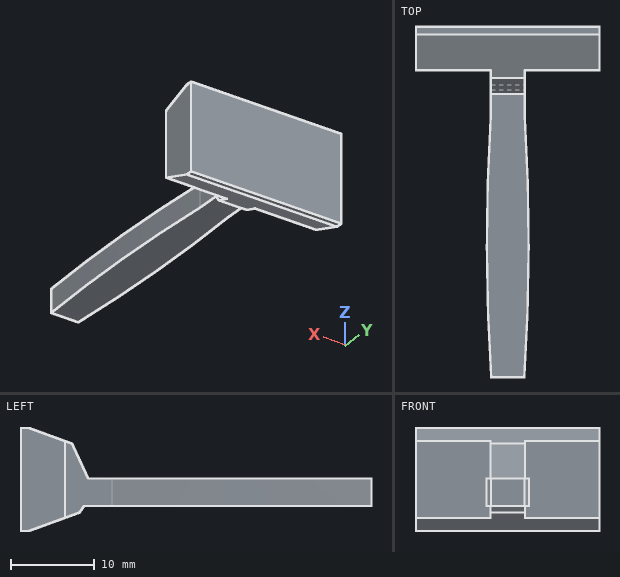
import cadquery as cq
import math

total_length = 42.0

head_width = 22.0
head_height = 12.4
head_depth = 5.25
head_rim_depth = 0.92
head_slope_angle = 20.0

neck_width = 4.1
neck_top_slope_end = 6.15
neck_top_end = 8.05
neck_bottom_slope_end = 7.0
neck_bottom_end = 7.55

handle_top = 0.13
handle_thickness = 3.3
handle_bottom = handle_top - handle_thickness
handle_max_width = 5.05
handle_end_width = 4.0
handle_bulge_start = 10.9


def slope_height(depth):
    """Height of the sloped head face above mid-height, at a depth from the back."""
    drop = (depth - head_rim_depth) * math.tan(math.radians(head_slope_angle))
    return head_height / 2 - drop


def extrude_side_profile(points, width):
    """Extrude a YZ outline symmetrically along X."""
    return cq.Workplane("YZ").polyline(points).close().extrude(width / 2, both=True)


def make_head():
    half_height = head_height / 2
    front_height = slope_height(head_depth)
    outline = [
        (0, half_height),
        (-head_rim_depth, half_height),
        (-head_depth, front_height),
        (-head_depth, -front_height),
        (-head_rim_depth, -half_height),
        (0, -half_height),
    ]
    return extrude_side_profile(outline, head_width)


def make_neck():
    root_height = slope_height(head_depth)
    outline = [
        (-head_depth, root_height),
        (-neck_top_slope_end, slope_height(neck_top_slope_end)),
        (-neck_top_end, handle_top),
        (-handle_bulge_start, handle_top),
        (-handle_bulge_start, handle_bottom),
        (-neck_bottom_end, handle_bottom),
        (-neck_bottom_slope_end, -slope_height(neck_bottom_slope_end)),
        (-head_depth, -root_height),
    ]
    return extrude_side_profile(outline, neck_width)


def make_handle():
    """Bar whose two sides bulge outward as arcs."""
    half_start = neck_width / 2
    half_end = handle_end_width / 2
    half_middle = handle_max_width / 2
    middle = (handle_bulge_start + total_length) / 2
    return (
        cq.Workplane("XY")
        .workplane(offset=handle_bottom)
        .moveTo(-half_start, -handle_bulge_start)
        .threePointArc((-half_middle, -middle), (-half_end, -total_length))
        .lineTo(half_end, -total_length)
        .threePointArc((half_middle, -middle), (half_start, -handle_bulge_start))
        .close()
        .extrude(handle_thickness)
    )


result = make_head().union(make_neck()).union(make_handle())